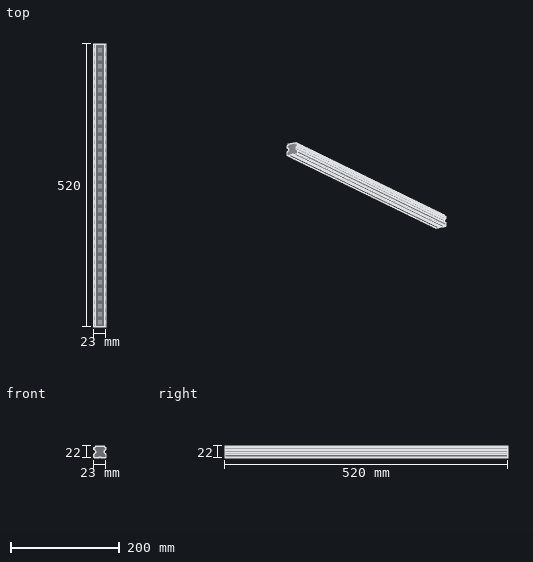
import cadquery as cq

WIDTH = 23.0
LENGTH = 520.0
HEIGHT = 22.0

TOP_FACE_WIDTH = 17.0
TOP_LIP_DEPTH = 1.5
NOSE_TOP_DEPTH = 3.1
NOSE_BOTTOM_DEPTH = 6.4
NOSE_CHAMFER = 0.4
UNDERCUT_WIDTH = 18.8
UNDERCUT_DEPTH = 8.1
RACEWAY_RADIUS = 2.4

NECK_WIDTH = 16.2
NECK_TOP_DEPTH = 9.3
NECK_BOTTOM_DEPTH = 12.4

SHOULDER_DEPTH = 14.4
SHOULDER_CHAMFER_WIDTH = 0.7
SHOULDER_CHAMFER_HEIGHT = 1.5
FOOT_CHAMFER = 1.5

RELIEF_WIDTH = 4.0
RELIEF_DEPTH = 1.0

half_width = WIDTH / 2
top = HEIGHT / 2
bottom = -HEIGHT / 2


def raceway_midpoint(start, end):
    """Middle of a concave raceway arc that runs down the right side from start to end."""
    dx = end[0] - start[0]
    dz = end[1] - start[1]
    chord = (dx**2 + dz**2) ** 0.5
    sagitta = RACEWAY_RADIUS - (RACEWAY_RADIUS**2 - (chord / 2) ** 2) ** 0.5
    mid_x = (start[0] + end[0]) / 2
    mid_z = (start[1] + end[1]) / 2
    return (mid_x + sagitta * dz / chord, mid_z - sagitta * dx / chord)


def half_profile():
    """Right half of the section, closed along the centre line."""
    half_top = TOP_FACE_WIDTH / 2
    half_neck = NECK_WIDTH / 2
    half_relief = RELIEF_WIDTH / 2
    lip = (half_top, top - TOP_LIP_DEPTH)
    nose_top = (half_width - NOSE_CHAMFER, top - NOSE_TOP_DEPTH)
    nose_bottom = (half_width - NOSE_CHAMFER, top - NOSE_BOTTOM_DEPTH)
    undercut = (UNDERCUT_WIDTH / 2, top - UNDERCUT_DEPTH)
    return (
        cq.Workplane("XZ")
        .moveTo(0, top)
        .lineTo(half_top, top)
        .lineTo(*lip)
        .threePointArc(raceway_midpoint(lip, nose_top), nose_top)
        .lineTo(half_width, nose_top[1] - NOSE_CHAMFER)
        .lineTo(half_width, nose_bottom[1] + NOSE_CHAMFER)
        .lineTo(*nose_bottom)
        .threePointArc(raceway_midpoint(nose_bottom, undercut), undercut)
        .lineTo(half_neck, top - NECK_TOP_DEPTH)
        .lineTo(half_neck, top - NECK_BOTTOM_DEPTH)
        .lineTo(half_width - SHOULDER_CHAMFER_WIDTH, top - SHOULDER_DEPTH)
        .lineTo(half_width, top - SHOULDER_DEPTH - SHOULDER_CHAMFER_HEIGHT)
        .lineTo(half_width, bottom + FOOT_CHAMFER)
        .lineTo(half_width - FOOT_CHAMFER, bottom)
        .lineTo(half_relief, bottom)
        .lineTo(half_relief, bottom + RELIEF_DEPTH)
        .lineTo(0, bottom + RELIEF_DEPTH)
        .close()
    )


def rail():
    """Full rail, centred on the origin along its length."""
    right_half = half_profile().extrude(LENGTH / 2, both=True)
    return right_half.union(right_half.mirror("YZ")).clean()


result = rail()